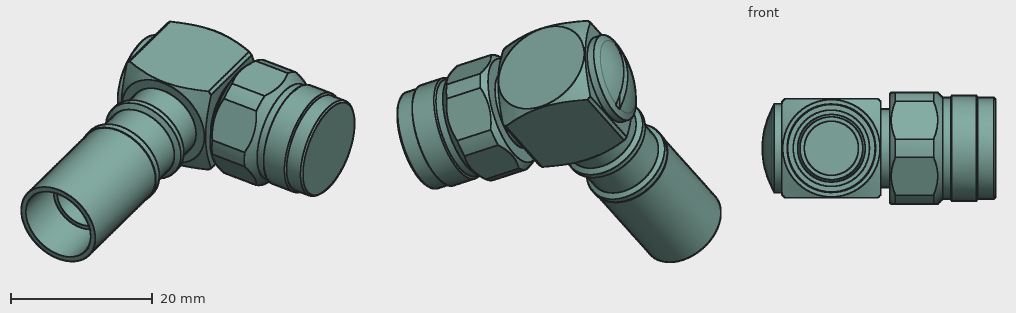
import cadquery as cq
import math


body_size = 14.0
body_half = body_size / 2
body_edge_chamfer = 0.45
body_cone_radius = 6.85
body_cone_angle = 30.0

cap_radius = 6.3
cap_rim_x = -8.05
dome_radius = 5.35
dome_edge_x = -8.52
dome_top_x = -9.8
slot_width = 1.17
slot_floor_x = -8.5

neck_radius = 5.55
nut_start_x = 8.2
nut_chamfer = 0.83
nut_corner_radius = 8.5
nut_across_flats = 15.8
hexagon_turn = 30.0
nut_cone_x = 14.45
collar_radius = 7.18
band_radius = 7.5
band_start_x = 16.85
band_end_x = 20.65
band_chamfer = 0.17
nut_end_x = 23.22
end_chamfer = 0.25

tube_radius = 5.5
ring_radius = 6.25
ring_start = 11.05
ring_width = 1.75
ring_cone = 0.5
shoulder_start = 17.65
shoulder_cone = 0.4
shoulder_end = 18.95
sleeve_radius = 6.18
sleeve_bore_radius = 5.4
sleeve_end = 35.0

post_radius = 4.8
post_tip_radius = 4.45
post_bore_radius = 3.83
post_tip = 29.15
post_taper = 1.0


def turned_about_x(profile):
    """Solid of revolution about X from (x, radius) points."""
    return cq.Workplane("XY").polyline(profile).close().revolve(360, (0, 0, 0), (1, 0, 0))


def turned_about_y(profile):
    """Solid of revolution about the cable axis from (distance toward -Y, radius) points."""
    points = [(radius, -distance) for distance, radius in profile]
    return cq.Workplane("XY").polyline(points).close().revolve(360, (0, 0, 0), (0, 1, 0))


def make_body():
    block = cq.Workplane("XY").box(body_size, body_size, body_size)
    block = block.edges("|Y").chamfer(body_edge_chamfer)
    outer_radius = body_size
    cone_drop = (outer_radius - body_cone_radius) * math.tan(math.radians(body_cone_angle))
    envelope = turned_about_y([
        (-body_half, 0),
        (-body_half, body_cone_radius),
        (-body_half + cone_drop, outer_radius),
        (body_half - cone_drop, outer_radius),
        (body_half, body_cone_radius),
        (body_half, 0),
    ])
    return block.intersect(envelope)


def make_cap():
    dome_height = dome_edge_x - dome_top_x
    sphere_radius = (dome_radius**2 + dome_height**2) / (2 * dome_height)
    mid_radius = dome_radius / 2
    mid_x = dome_top_x + sphere_radius - math.sqrt(sphere_radius**2 - mid_radius**2)
    cap = (
        cq.Workplane("XY")
        .moveTo(0, 0)
        .lineTo(0, cap_radius)
        .lineTo(cap_rim_x, cap_radius)
        .lineTo(dome_edge_x, dome_radius)
        .threePointArc((mid_x, mid_radius), (dome_top_x, 0))
        .close()
        .revolve(360, (0, 0, 0), (1, 0, 0))
    )
    slot_depth = slot_floor_x - dome_top_x
    slot = cq.Workplane("XY").box(slot_depth, slot_width, 2 * cap_radius)
    return cap.cut(slot.translate((dome_top_x + slot_depth / 2, 0, 0)))


def make_nut():
    cone_end_x = nut_cone_x + nut_corner_radius - collar_radius
    turned_hex = turned_about_x([
        (nut_start_x, 0),
        (nut_start_x, nut_corner_radius - nut_chamfer),
        (nut_start_x + nut_chamfer, nut_corner_radius),
        (nut_cone_x, nut_corner_radius),
        (cone_end_x, collar_radius),
        (cone_end_x, 0),
    ])
    hexagon = (
        cq.Workplane("YZ")
        .workplane(offset=nut_start_x)
        .polygon(6, nut_across_flats, circumscribed=True)
        .extrude(cone_end_x - nut_start_x)
        .rotate((0, 0, 0), (1, 0, 0), hexagon_turn)
    )
    barrel = turned_about_x([
        (nut_cone_x, 0),
        (nut_cone_x, collar_radius),
        (band_start_x, collar_radius),
        (band_start_x + band_chamfer, band_radius),
        (band_end_x - band_chamfer, band_radius),
        (band_end_x, collar_radius),
        (nut_end_x - end_chamfer, collar_radius),
        (nut_end_x, collar_radius - end_chamfer),
        (nut_end_x, 0),
    ])
    neck = cq.Workplane("YZ").circle(neck_radius).extrude(nut_cone_x)
    return turned_hex.intersect(hexagon).union(barrel).union(neck)


def make_cable_tube():
    ring_end = ring_start + ring_width
    return turned_about_y([
        (0, 0),
        (0, tube_radius),
        (ring_start, tube_radius),
        (ring_start + ring_cone, ring_radius),
        (ring_end - ring_cone, ring_radius),
        (ring_end, tube_radius),
        (shoulder_start, tube_radius),
        (shoulder_start + shoulder_cone, ring_radius),
        (shoulder_end, ring_radius),
        (shoulder_end, sleeve_radius),
        (sleeve_end, sleeve_radius),
        (sleeve_end, sleeve_bore_radius),
        (shoulder_end, sleeve_bore_radius),
        (shoulder_end, post_radius),
        (post_tip - post_taper, post_radius),
        (post_tip, post_tip_radius),
        (post_tip, post_bore_radius),
        (shoulder_end, post_bore_radius),
        (shoulder_end, 0),
    ])


result = make_body().union(make_cap()).union(make_nut()).union(make_cable_tube())